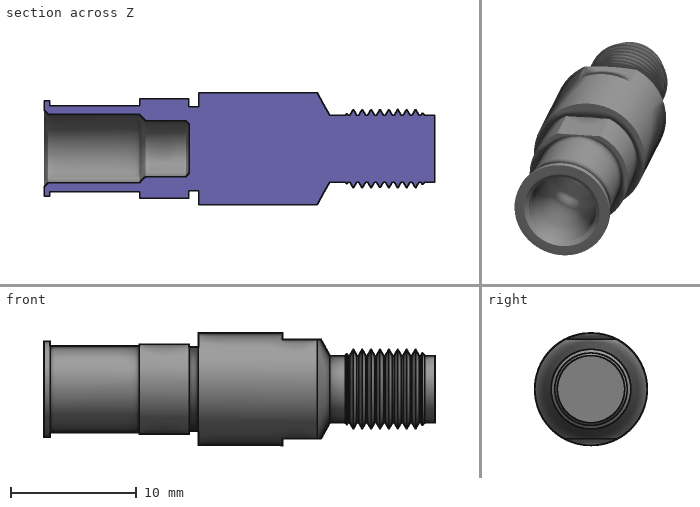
import cadquery as cq
import math

OVERALL_LENGTH = 31.15

RIM_RADIUS = 3.83
RIM_LENGTH = 0.5
TUBE_RADIUS = 3.45
COLLAR_START = 7.6
COLLAR_LENGTH = 3.95
COLLAR_RADIUS = 4.0
COLLAR_FLAT_HEIGHT = 3.58
NECK_RADIUS = 3.35

BODY_START = 12.3
BODY_RADIUS = 4.48
BODY_FLAT_START = 19.0
BODY_FLAT_HEIGHT = 3.95
NOSE_START = 21.77
NOSE_END = 22.75

STEM_RADIUS = 2.68
THREAD_RADIUS = 3.18
THREAD_ANGLE = 60.0
THREAD_START = 23.98
THREAD_END = 30.33
FIRST_CREST = 24.63
LAST_CREST = 29.58
FULL_RING_COUNT = 8
THREAD_PITCH = (LAST_CREST - FIRST_CREST) / (FULL_RING_COUNT - 1)

SOCKET_MOUTH_RADIUS = 3.05
SOCKET_RADIUS = 2.7
INNER_SOCKET_RADIUS = 2.2
SOCKET_FLOOR_RADIUS = 1.95
INNER_SOCKET_START = COLLAR_START
SOCKET_DEPTH = COLLAR_START + COLLAR_LENGTH
SOCKET_CONE_ANGLE = 45.0


def turned(points):
    """Revolve a closed outline of (x, radius) points a full turn about the X axis."""
    return cq.Workplane("XZ").polyline(points).close().revolve(360.0, (0, 0, 0), (1, 0, 0))


def cylinder(start, end, radius):
    return turned([(start, 0), (start, radius), (end, radius), (end, 0)])


def with_flats(solid, start, end, height):
    """Trim the solid to +/- height in Z between two X positions."""
    span = 2 * BODY_RADIUS
    for side in (1, -1):
        cutter = cq.Workplane("XY").box(end - start, span, span)
        solid = solid.cut(cutter.translate(((start + end) / 2, 0, side * (height + span / 2))))
    return solid


def make_socket_tube():
    collar_end = COLLAR_START + COLLAR_LENGTH
    collar = with_flats(
        cylinder(COLLAR_START, collar_end, COLLAR_RADIUS),
        COLLAR_START, collar_end, COLLAR_FLAT_HEIGHT,
    )
    tube = cylinder(0, RIM_LENGTH, RIM_RADIUS)
    tube = tube.union(cylinder(0, COLLAR_START, TUBE_RADIUS))
    tube = tube.union(collar)
    return tube.union(cylinder(COLLAR_START, BODY_START, NECK_RADIUS))


def make_body():
    body = turned([
        (BODY_START, 0),
        (BODY_START, BODY_RADIUS),
        (NOSE_START, BODY_RADIUS),
        (NOSE_END, STEM_RADIUS),
        (NOSE_END, 0),
    ])
    return with_flats(body, BODY_FLAT_START, NOSE_END, BODY_FLAT_HEIGHT)


def make_threaded_stem():
    depth = THREAD_RADIUS - STEM_RADIUS
    half_base = depth * math.tan(math.radians(THREAD_ANGLE / 2))

    envelope = turned([
        (THREAD_START, 0),
        (THREAD_START, STEM_RADIUS),
        (THREAD_START + depth, THREAD_RADIUS),
        (THREAD_END - depth, THREAD_RADIUS),
        (THREAD_END, STEM_RADIUS),
        (THREAD_END, 0),
    ])

    stem = cylinder(NOSE_END, OVERALL_LENGTH, STEM_RADIUS)
    for index in range(-1, FULL_RING_COUNT + 1):
        crest = FIRST_CREST + index * THREAD_PITCH
        ring = turned([
            (crest - half_base, 0),
            (crest - half_base, STEM_RADIUS),
            (crest, THREAD_RADIUS),
            (crest + half_base, STEM_RADIUS),
            (crest + half_base, 0),
        ])
        stem = stem.union(ring.intersect(envelope))
    return stem


def make_socket():
    def cone_length(large_radius, small_radius):
        return (large_radius - small_radius) / math.tan(math.radians(SOCKET_CONE_ANGLE))

    return turned([
        (0, 0),
        (0, SOCKET_MOUTH_RADIUS),
        (cone_length(SOCKET_MOUTH_RADIUS, SOCKET_RADIUS), SOCKET_RADIUS),
        (INNER_SOCKET_START, SOCKET_RADIUS),
        (INNER_SOCKET_START + cone_length(SOCKET_RADIUS, INNER_SOCKET_RADIUS), INNER_SOCKET_RADIUS),
        (SOCKET_DEPTH - cone_length(INNER_SOCKET_RADIUS, SOCKET_FLOOR_RADIUS), INNER_SOCKET_RADIUS),
        (SOCKET_DEPTH, SOCKET_FLOOR_RADIUS),
        (SOCKET_DEPTH, 0),
    ])


result = make_socket_tube().union(make_body()).union(make_threaded_stem()).cut(make_socket())